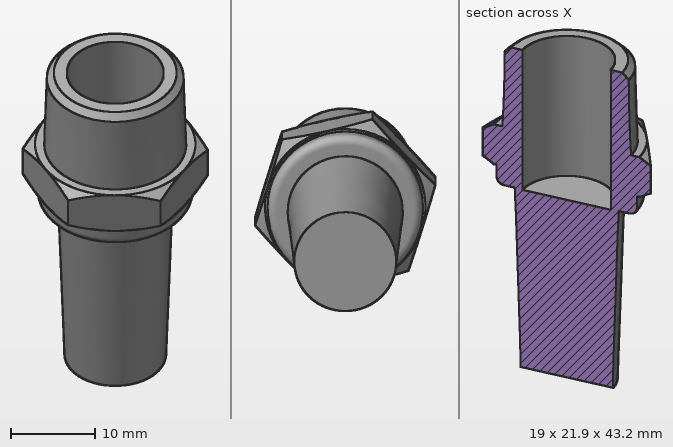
import cadquery as cq
import math

tail_top = 24.2
hex_bottom = 26.75
hex_top = 32.23
overall_height = 43.2

tail_end_diameter = 12.1
tail_root_diameter = 13.65

collar_diameter = 18.4
collar_fillet = 1.05

across_flats = 19.0
across_corners = across_flats / math.cos(math.radians(30))
hex_chamfer_angle = 30.0

spigot_root_diameter = 16.85
spigot_end_diameter = 16.25
mouth_diameter = 14.55
mouth_chamfer_height = 0.8

bore_diameter = 11.5
bore_depth = overall_height - tail_top


def cone(bottom_diameter, top_diameter, bottom, top):
    """Solid frustum on the Z axis between two heights."""
    profile = [
        (0, bottom),
        (bottom_diameter / 2, bottom),
        (top_diameter / 2, top),
        (0, top),
    ]
    return cq.Workplane("XZ").polyline(profile).close().revolve(360, (0, 0), (0, 1))


def make_collar():
    """Round collar with a rounded lower edge."""
    collar = cq.Workplane("XY").workplane(offset=tail_top)
    collar = collar.circle(collar_diameter / 2).extrude(hex_bottom - tail_top)
    return collar.faces("<Z").edges().fillet(collar_fillet)


def make_hexagon():
    """Hexagon with corners on the Y axis, trimmed by a cone at each end."""
    flat_radius = across_flats / 2
    corner_radius = across_corners / 2
    chamfer_height = (corner_radius - flat_radius) * math.tan(math.radians(hex_chamfer_angle))
    prism = cq.Workplane("XY").workplane(offset=hex_bottom).polygon(6, across_corners)
    prism = prism.extrude(hex_top - hex_bottom).rotate((0, 0, 0), (0, 0, 1), 90)
    envelope_profile = [
        (0, hex_bottom),
        (flat_radius, hex_bottom),
        (corner_radius, hex_bottom + chamfer_height),
        (corner_radius, hex_top - chamfer_height),
        (flat_radius, hex_top),
        (0, hex_top),
    ]
    envelope = cq.Workplane("XZ").polyline(envelope_profile).close().revolve(360, (0, 0), (0, 1))
    return prism.intersect(envelope)


def make_spigot():
    """Tapered spigot and the steeper chamfer around its mouth."""
    chamfer_start = overall_height - mouth_chamfer_height
    body = cone(spigot_root_diameter, spigot_end_diameter, hex_top, chamfer_start)
    return body.union(cone(spigot_end_diameter, mouth_diameter, chamfer_start, overall_height))


tail = cone(tail_end_diameter, tail_root_diameter, 0, tail_top)
bore = cq.Workplane("XY").workplane(offset=overall_height).circle(bore_diameter / 2).extrude(-bore_depth)

result = tail.union(make_collar()).union(make_hexagon()).union(make_spigot()).cut(bore)